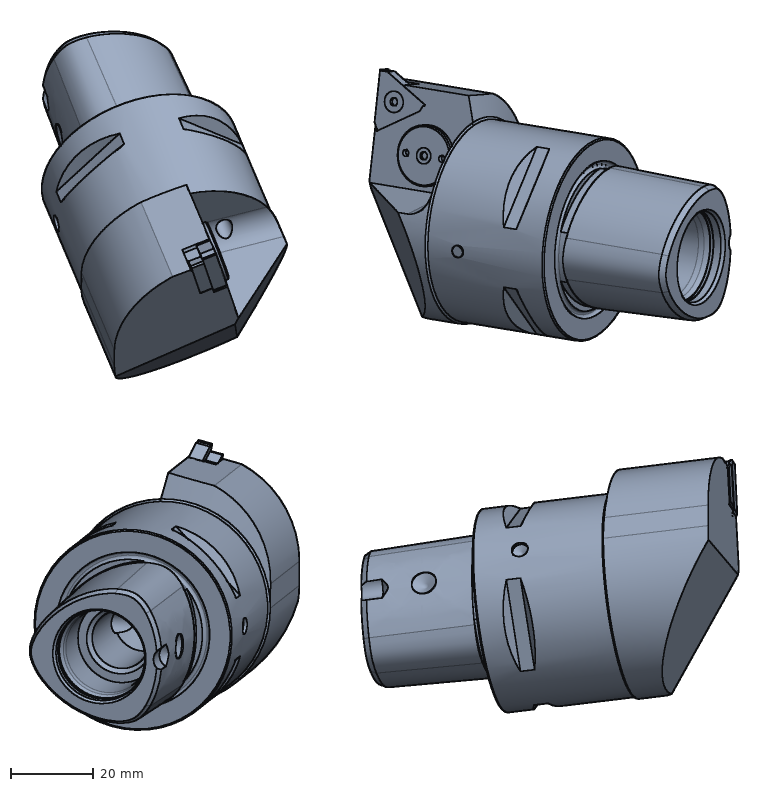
import cadquery as cq
import math

SHANK_LENGTH = 30.0
FLANGE_RADIUS = 25.0
FLANGE_LENGTH = 32.85
FLANGE_END_TAPER = 0.45
FLANGE_CHAMFER = 0.4

OVERLAP = 0.9
CUT_MARGIN = 18.0
CUT_SIZE = 180.0

LOBE_RISE = 1.35
LOBE_POINTS = 8
LOBE_SEAM_START = 30
LOBE_SEAM_STEP = 60
SHANK_MEAN_ROOT = 17.55
NECK_MEAN = 17.5
SHANK_MEAN_NOSE = 16.7
SHANK_MEAN_END = 15.9
SHANK_ROOT_X = -2.0
NOSE_CHAMFER = 1.5
NECK_RADIUS = 17.6
RELIEF_RADIUS = 0.9

BORE_MOUTH_RADIUS = 11.8
BORE_ENTRY_RADIUS = 11.25
BORE_MOUTH_DEPTH = 0.9
BORE_GROOVE_RADIUS = 11.4
BORE_GROOVE_START = 3.1
BORE_GROOVE_END = 4.0
BORE_STEP_RADIUS = 10.7
BORE_STEP_DEPTH = 5.4
BORE_DIAMETER = 21.0
BORE_TAPER_DEPTH = 6.8
BORE_DEPTH = 18.0
PILOT_MOUTH_RADIUS = 8.3
PILOT_RADIUS = 7.2
PILOT_CHAMFER = 1.1
PILOT_END_X = 9.0
PILOT_TIP_X = 13.1

DRIVE_HOLE_DIAMETER = 6.1
DRIVE_HOLE_X = -14.0
DRIVE_HOLE_Y = -16.4
DRIVE_HOLE_DEPTH = 0.9
DRIVE_TIP_LENGTH = 1.8
NOTCH_Y = -16.7
NOTCH_DEPTH = 5.3
NOTCH_TIP_LENGTH = 2.7
DIMPLE_DIAMETER = 4.05
DIMPLE_X = 11.9
DIMPLE_DEPTH = 0.9
DIMPLE_TIP_LENGTH = 1.2
CROSS_DIAMETER = 5.0
CROSS_X = 8.8
CROSS_START = 2.7
CROSS_OFFSET_Z = 0.5
CROSS_REACH = 12.6

GROOVE_FLOOR_RADIUS = 22.2
GROOVE_START_X = 8.3
GROOVE_WIDTH = 3.5
GROOVE_SIDE_ANGLE = 32.0
GROOVE_ANGLES = (45, 135, 225, 315)

HEAD_START_X = FLANGE_LENGTH
HEAD_RADIUS = 25.6
HEAD_END_X = 58.95
HEAD_END_SLOPE = 0.026
HEAD_END_ALLOWANCE = 1.8
HEAD_ARC_RISE = 6.0
HEAD_EDGE_Y = -10.8
HEAD_TOP_TILT = 12.0
HEAD_CONE_SLOPE = 0.32
FLOOR_Z = 7.2
FLOOR_FILLET = 5.7
SIDE_PLANE_Y = 1.0
SIDE_PLANE_Z = -0.41
SIDE_PLANE_SUM = 62.6
BOTTOM_PLANE_Y = 0.16
BOTTOM_PLANE_Z = -0.6
BOTTOM_PLANE_SUM = 57.3
OUTLET_DIAMETER = 4.05
OUTLET_Y = 10.9
OUTLET_Z = 10.1
OUTLET_DEPTH = 10.8
OUTLET_TIP_LENGTH = 1.2

WALL_TILT = 12.0
WALL_FOOT_Y = 6.0
INSERT_CIRCLE_RADIUS = 4.8
INSERT_RIGHT_X = 60.0
INSERT_X = INSERT_RIGHT_X - INSERT_CIRCLE_RADIUS
INSERT_CENTRE_V = 20.5
INSERT_THICKNESS = 3.6
INSERT_TIP_CUT = 1.3
INSERT_NIB_WIDTH = 0.45
INSERT_NIB_HEIGHT = 0.3
SHIM_CIRCLE_RADIUS = 3.4
SHIM_RIGHT_X = 59.85
SHIM_TIP_CUT = 0.45
SHIM_THICKNESS = 3.2
INSERT_SCREW_HEAD = 5.2
INSERT_SCREW_HEAD_DEPTH = 1.6
INSERT_SCREW_SHANK = 3.15
INSERT_SCREW_LENGTH = 11.7
SOCKET_DIAMETER = 2.0
SOCKET_DEPTH = 0.9
SHIM_NOTCH_START_X = 52.2
SHIM_NOTCH_SLOPE_X = 1.2
SHIM_NOTCH_FLOOR_V = 24.4
SHIM_NOTCH_REACH = 7.1

CAP_DIAMETER = 15.0
CAP_THICKNESS = 1.5
CAP_CHAMFER = 0.4
CAP_X = 44.6
CAP_V = 8.8
CAP_PIN_HOLE = 1.6
CAP_PIN_OFFSET = 5.0
CAP_SCREW_DIAMETER = 4.0
CAP_SCREW_LENGTH = 7.2

PLUG_DIAMETER = 3.0
PLUG_X = 23.9
PLUG_HEIGHT = 0.4
PLUG_DEPTH = 2.7

TILT = math.radians(WALL_TILT)
SEAT = cq.Plane(
    origin=(0, WALL_FOOT_Y, FLOOR_Z),
    xDir=(1, 0, 0),
    normal=(0, -math.cos(TILT), -math.sin(TILT)),
)


def revolve_x(points):
    """Revolve (x, radius) points about the X axis."""
    return cq.Workplane("XY").polyline(points).close().revolve(360, (0, 0, 0), (1, 0, 0))


def drill(start, direction, radius, depth, tip):
    """A drilled hole: a cylinder followed by a cone of length tip."""
    plane = cq.Plane(origin=start, xDir=(0, 0, 1), normal=direction)
    profile = [(0, 0), (radius, 0), (radius, depth), (0, depth + tip)]
    turned = cq.Workplane("XY").polyline(profile).close().revolve(360, (0, 0, 0), (0, 1, 0))
    upright = turned.rotate((0, 0, 0), (1, 0, 0), 90)
    return cq.Workplane(upright.val().moved(plane.location))


def seat_cylinder(x, v, diameter, start, end):
    """A cylinder square to the seat wall; depths are positive into the head."""
    disc = cq.Workplane(SEAT).workplane(offset=start).center(x, v).circle(diameter / 2)
    return disc.extrude(end - start)


def lobe_point(mean, degrees):
    """Point of the three-lobed curve where its outward normal has the given angle from +Y."""
    angle = math.radians(degrees)
    reach = mean + LOBE_RISE * math.cos(3 * angle)
    slide = -3 * LOBE_RISE * math.sin(3 * angle)
    y = reach * math.cos(angle) - slide * math.sin(angle)
    z = reach * math.sin(angle) + slide * math.cos(angle)
    return y, z


def lobe_wire(x, mean):
    """Closed three-lobed outline made of six curves."""
    edges = []
    for start in range(LOBE_SEAM_START, LOBE_SEAM_START + 360, LOBE_SEAM_STEP):
        angles = [start + LOBE_SEAM_STEP * i / LOBE_POINTS for i in range(LOBE_POINTS + 1)]
        points = [cq.Vector(x, *lobe_point(mean, angle)) for angle in angles]
        edges.append(cq.Edge.makeSpline(points))
    return cq.Wire.assembleEdges(edges)


def lobe_frustum(x_start, mean_start, x_end, mean_end):
    """Tapered solid between two three-lobed outlines."""
    wires = [lobe_wire(x_start, mean_start), lobe_wire(x_end, mean_end)]
    return cq.Workplane(cq.Solid.makeLoft(wires, True))


def make_shank():
    """Tapered three-lobed shank with a chamfered nose and a neck at the flange."""
    chamfer_x = NOSE_CHAMFER - SHANK_LENGTH
    nose = lobe_frustum(-SHANK_LENGTH, SHANK_MEAN_END, chamfer_x, SHANK_MEAN_NOSE)
    taper = lobe_frustum(chamfer_x, SHANK_MEAN_NOSE, SHANK_ROOT_X, SHANK_MEAN_ROOT)
    turned = revolve_x([
        (SHANK_ROOT_X, 0),
        (SHANK_ROOT_X, NECK_RADIUS),
        (OVERLAP, NECK_RADIUS),
        (OVERLAP, 0),
    ])
    neck = lobe_frustum(SHANK_ROOT_X, NECK_MEAN, OVERLAP, NECK_MEAN).intersect(turned)
    return nose.union(taper).union(neck)


def make_flange():
    """Round flange with four gripper grooves and a relief groove around the neck."""
    flange = revolve_x([
        (0, 0),
        (0, FLANGE_RADIUS - FLANGE_CHAMFER),
        (FLANGE_CHAMFER, FLANGE_RADIUS),
        (FLANGE_LENGTH - FLANGE_END_TAPER, FLANGE_RADIUS),
        (FLANGE_LENGTH, HEAD_RADIUS),
        (FLANGE_LENGTH, 0),
    ])
    relief_y = NECK_RADIUS + RELIEF_RADIUS
    relief = cq.Workplane("XY").center(0, relief_y).circle(RELIEF_RADIUS)
    relief = relief.revolve(360, (0, -relief_y, 0), (1, -relief_y, 0))
    flange = flange.cut(relief)
    outer = FLANGE_RADIUS + OVERLAP
    side = (outer - GROOVE_FLOOR_RADIUS) * math.tan(math.radians(GROOVE_SIDE_ANGLE))
    end_x = GROOVE_START_X + GROOVE_WIDTH
    section = [
        (GROOVE_START_X, GROOVE_FLOOR_RADIUS),
        (end_x, GROOVE_FLOOR_RADIUS),
        (end_x + side, outer),
        (GROOVE_START_X - side, outer),
    ]
    groove = cq.Workplane("XZ").polyline(section).close().extrude(FLANGE_RADIUS, both=True)
    for angle in GROOVE_ANGLES:
        flange = flange.cut(groove.rotate((0, 0, 0), (1, 0, 0), angle))
    return flange


def make_head():
    """Eccentric head with the seat wall, the floor beside it and its trimmed sides."""
    head_end = HEAD_END_X + HEAD_END_ALLOWANCE
    edge_z = HEAD_ARC_RISE + math.sqrt(HEAD_RADIUS**2 - HEAD_EDGE_Y**2)
    slope = math.tan(math.radians(HEAD_TOP_TILT))
    lean = math.tan(TILT)
    corner_z = edge_z + slope * (WALL_FOOT_Y + lean * FLOOR_Z - HEAD_EDGE_Y)
    corner_z = corner_z / (1 + slope * lean)
    corner_y = WALL_FOOT_Y - lean * (corner_z - FLOOR_Z)
    floor_y = math.sqrt(HEAD_RADIUS**2 - FLOOR_Z**2)
    mid = math.acos(-HEAD_EDGE_Y / HEAD_RADIUS) / 2
    mid_point = (-HEAD_RADIUS * math.cos(mid), HEAD_ARC_RISE + HEAD_RADIUS * math.sin(mid))
    head = (
        cq.Workplane("YZ", origin=(HEAD_START_X, 0, 0))
        .moveTo(floor_y, FLOOR_Z)
        .threePointArc((0, -HEAD_RADIUS), (-HEAD_RADIUS, 0))
        .lineTo(-HEAD_RADIUS, HEAD_ARC_RISE)
        .threePointArc(mid_point, (HEAD_EDGE_Y, edge_z))
        .lineTo(corner_y, corner_z)
        .lineTo(WALL_FOOT_Y, FLOOR_Z)
        .close()
        .extrude(head_end - HEAD_START_X)
    )
    return head.union(make_floor_fillet()).intersect(make_head_envelope(head_end))


def make_floor_fillet():
    """Concave quarter round between the floor and the back of the flange."""
    x = HEAD_START_X
    fillet = (
        cq.Workplane("XZ", origin=(0, WALL_FOOT_Y - FLOOR_Z, FLOOR_Z))
        .moveTo(x, -OVERLAP)
        .lineTo(x + FLOOR_FILLET, -OVERLAP)
        .lineTo(x + FLOOR_FILLET, 0)
        .radiusArc((x, FLOOR_FILLET), FLOOR_FILLET)
        .close()
        .extrude(-2 * HEAD_RADIUS)
    )
    bound = cq.Workplane("YZ", origin=(x, 0, 0)).circle(HEAD_RADIUS).extrude(FLOOR_FILLET)
    return fillet.intersect(bound)


def make_head_envelope(head_end):
    """Body that limits the head: back cone, end face, side chamfer and bottom chamfer."""
    far = HEAD_RADIUS + CUT_MARGIN
    cone_x = HEAD_START_X + HEAD_CONE_SLOPE * CUT_MARGIN
    envelope = revolve_x([
        (HEAD_START_X, 0),
        (HEAD_START_X, HEAD_RADIUS),
        (cone_x, far),
        (head_end, far),
        (head_end, 0),
    ])
    end_x = HEAD_END_X + HEAD_END_SLOPE * HEAD_RADIUS
    planes = [
        ((end_x, 0, 0), (1, -HEAD_END_SLOPE, 0)),
        ((SIDE_PLANE_SUM, 0, 0), (1, SIDE_PLANE_Y, SIDE_PLANE_Z)),
        ((BOTTOM_PLANE_SUM, 0, 0), (1, BOTTOM_PLANE_Y, BOTTOM_PLANE_Z)),
    ]
    for origin, normal in planes:
        plane = cq.Plane(origin=origin, xDir=(-normal[1], 1, 0), normal=normal)
        envelope = envelope.cut(cq.Workplane(plane).rect(CUT_SIZE, CUT_SIZE).extrude(CUT_SIZE))
    return envelope


def make_bore():
    """Stepped blind bore with a shallow groove and a conical end."""
    face = -SHANK_LENGTH
    shoulder = face + BORE_DEPTH
    return revolve_x([
        (face, 0),
        (face, BORE_MOUTH_RADIUS),
        (face + BORE_MOUTH_DEPTH, BORE_ENTRY_RADIUS),
        (face + BORE_GROOVE_START, BORE_ENTRY_RADIUS),
        (face + BORE_GROOVE_START, BORE_GROOVE_RADIUS),
        (face + BORE_GROOVE_END, BORE_GROOVE_RADIUS),
        (face + BORE_GROOVE_END, BORE_ENTRY_RADIUS),
        (face + BORE_STEP_DEPTH, BORE_STEP_RADIUS),
        (face + BORE_TAPER_DEPTH, BORE_DIAMETER / 2),
        (shoulder, BORE_DIAMETER / 2),
        (shoulder, PILOT_MOUTH_RADIUS),
        (shoulder + PILOT_CHAMFER, PILOT_RADIUS),
        (PILOT_END_X, PILOT_RADIUS),
        (PILOT_TIP_X, 0),
    ])


def triangle(right_x, circle_radius, tip, start, thickness):
    """Three-cornered plate in the seat; tip lists the outline of one corner from its sharp point."""
    point_v = math.sqrt(3) * circle_radius
    points = []
    for turn in (0, 120, 240):
        c = math.cos(math.radians(turn))
        s = math.sin(math.radians(turn))
        for left, down in tip:
            x = circle_radius - left
            v = point_v - down
            points.append((x * c - v * s, x * s + v * c))
    plate = cq.Workplane(SEAT).workplane(offset=start)
    plate = plate.center(right_x - circle_radius, INSERT_CENTRE_V)
    return plate.polyline(points).close().extrude(thickness)


def cut_tip(cut):
    """Corner of a triangle cut square to its right side."""
    return [(0, cut), (math.sqrt(3) * cut, cut)]


def make_shim_notch():
    """Notch in the top of the head, with a sloped back wall, that clears the corner of the shim."""
    start = SHIM_NOTCH_START_X
    end = HEAD_END_X + HEAD_END_ALLOWANCE
    top = SHIM_NOTCH_FLOOR_V + CUT_MARGIN
    lean = SHIM_NOTCH_SLOPE_X
    return (
        cq.Workplane(SEAT)
        .moveTo(start + lean, SHIM_NOTCH_FLOOR_V)
        .lineTo(end, SHIM_NOTCH_FLOOR_V)
        .lineTo(end, top)
        .lineTo(start, top)
        .lineTo(start, SHIM_NOTCH_FLOOR_V + lean)
        .close()
        .extrude(SHIM_NOTCH_REACH)
    )


def make_insert_blank():
    """Triangular insert, without its screw hole, with a small cutting nib on each corner."""
    nib_top = INSERT_TIP_CUT - INSERT_NIB_HEIGHT
    nib = [(0, nib_top), (INSERT_NIB_WIDTH, nib_top), (INSERT_NIB_WIDTH, INSERT_TIP_CUT)]
    tip = nib + cut_tip(INSERT_TIP_CUT)[1:]
    return triangle(INSERT_RIGHT_X, INSERT_CIRCLE_RADIUS, tip, 0, INSERT_THICKNESS)


def make_shim_blank():
    """Smaller triangular shim, without its screw hole, behind the insert."""
    tip = cut_tip(SHIM_TIP_CUT)
    return triangle(SHIM_RIGHT_X, SHIM_CIRCLE_RADIUS, tip, INSERT_THICKNESS, SHIM_THICKNESS)


def make_insert_screw_blank():
    """Screw through the insert and the shim, without its socket."""
    head = seat_cylinder(INSERT_X, INSERT_CENTRE_V, INSERT_SCREW_HEAD, 0, INSERT_SCREW_HEAD_DEPTH)
    shank = seat_cylinder(INSERT_X, INSERT_CENTRE_V, INSERT_SCREW_SHANK, 0, INSERT_SCREW_LENGTH)
    return head.union(shank)


def make_insert_screw():
    socket = seat_cylinder(INSERT_X, INSERT_CENTRE_V, SOCKET_DIAMETER, 0, SOCKET_DEPTH)
    return make_insert_screw_blank().cut(socket)


def make_cap_screw_blank():
    return seat_cylinder(CAP_X, CAP_V, CAP_SCREW_DIAMETER, -CAP_THICKNESS, CAP_SCREW_LENGTH)


def make_cap_screw():
    bottom = SOCKET_DEPTH - CAP_THICKNESS
    socket = seat_cylinder(CAP_X, CAP_V, SOCKET_DIAMETER, -CAP_THICKNESS, bottom)
    return make_cap_screw_blank().cut(socket)


def make_cap():
    """Round cap standing on the seat wall, with a screw hole and two pin holes."""
    outer_face = cq.selectors.DirectionMinMaxSelector(SEAT.zDir, False)
    cap = seat_cylinder(CAP_X, CAP_V, CAP_DIAMETER, -CAP_THICKNESS, 0)
    cap = cap.faces(outer_face).chamfer(CAP_CHAMFER).cut(make_cap_screw_blank())
    for offset in (-CAP_PIN_OFFSET, CAP_PIN_OFFSET):
        cap = cap.cut(seat_cylinder(CAP_X + offset, CAP_V, CAP_PIN_HOLE, -CAP_THICKNESS, 0))
    return cap


def make_plug():
    """Round plug in the +Y side of the flange, standing slightly proud."""
    plane = cq.Workplane("XZ", origin=(PLUG_X, FLANGE_RADIUS + PLUG_HEIGHT, 0))
    return plane.circle(PLUG_DIAMETER / 2).extrude(PLUG_HEIGHT + PLUG_DEPTH)


def make_cross_hole(side):
    """Hole leading out of the conical bore end toward +Y (side 1) or -Y (side -1)."""
    plane = cq.Workplane("XZ", origin=(CROSS_X, side * CROSS_START, -side * CROSS_OFFSET_Z))
    return plane.circle(CROSS_DIAMETER / 2).extrude(-side * (CROSS_REACH - CROSS_START))


def make_holder():
    """Shank, flange and head in one piece, with its bore, holes and seats."""
    inward = (0, 1, 0)
    drive_radius = DRIVE_HOLE_DIAMETER / 2
    drive_start = (DRIVE_HOLE_X, DRIVE_HOLE_Y, 0)
    notch_start = (-SHANK_LENGTH, NOTCH_Y, 0)
    dimple_start = (DIMPLE_X, -FLANGE_RADIUS, 0)
    outlet_start = (HEAD_START_X + FLOOR_FILLET, OUTLET_Y, OUTLET_Z)
    cutters = [
        make_bore(),
        drill(drive_start, inward, drive_radius, DRIVE_HOLE_DEPTH, DRIVE_TIP_LENGTH),
        drill(notch_start, (1, 0, 0), drive_radius, NOTCH_DEPTH, NOTCH_TIP_LENGTH),
        drill(dimple_start, inward, DIMPLE_DIAMETER / 2, DIMPLE_DEPTH, DIMPLE_TIP_LENGTH),
        drill(outlet_start, (-1, 0, 0), OUTLET_DIAMETER / 2, OUTLET_DEPTH, OUTLET_TIP_LENGTH),
        make_cross_hole(1),
        make_cross_hole(-1),
        make_shim_notch(),
        make_insert_blank(),
        make_shim_blank(),
        make_insert_screw_blank(),
        make_cap_screw_blank(),
        make_plug(),
    ]
    holder = make_shank().union(make_flange()).union(make_head())
    for cutter in cutters:
        holder = holder.cut(cutter)
    return holder


holder = make_holder()
insert = make_insert_blank().cut(make_insert_screw_blank())
shim = make_shim_blank().cut(make_insert_screw_blank())
insert_screw = make_insert_screw()
cap = make_cap()
cap_screw = make_cap_screw()
plug = make_plug()

result = cq.Compound.makeCompound([
    holder.val(),
    insert.val(),
    shim.val(),
    insert_screw.val(),
    cap.val(),
    cap_screw.val(),
    plug.val(),
])